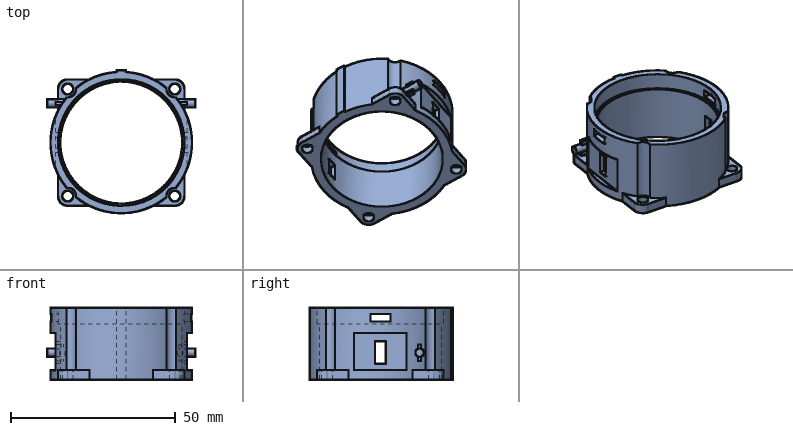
import cadquery as cq

height = 22.0
outer_radius = 21.5
bore_radius = 18.5
seat_radius = 19.2
seat_depth = 5.0

flange_half_width = 19.2
flange_height = 3.0
hole_offset = 16.25
hole_radius = 1.6
corner_radius = flange_half_width - hole_offset
relief_radius = 2.5

key_width = 2.8
key_reach = 22.0

flat_distance = 20.0
flat_top = 14.25
slot_width = 3.15
slot_bottom = 5.0
slot_top = 11.75
window_width = 6.0
window_bottom = 17.8
window_top = 20.0

pin_tip = 22.5
pin_y = 11.9
pin_z = 8.3
pin_diameter = 2.55
fin_thickness = 1.0
fin_height = 5.05


def cylinder(radius, bottom, top):
    return cq.Workplane("XY").workplane(offset=bottom).circle(radius).extrude(top - bottom)


def side_to_side_bar(width, bottom, top):
    """Bar along X that runs through both side walls."""
    bar = cq.Workplane("XY").box(2 * pin_tip, width, top - bottom)
    return bar.translate((0, 0, (bottom + top) / 2))


def screw_cylinders(radius, bottom, top):
    """Four upright cylinders on the screw axes."""
    return (
        cq.Workplane("XY")
        .workplane(offset=bottom)
        .rect(2 * hole_offset, 2 * hole_offset, forConstruction=True)
        .vertices()
        .circle(radius)
        .extrude(top - bottom)
    )


def flange():
    side = 2 * flange_half_width
    plate = cq.Workplane("XY").rect(side, side).extrude(flange_height)
    return plate.edges("|Z").fillet(corner_radius)


def key():
    return (
        cq.Workplane("XY")
        .center(0, key_reach / 2)
        .rect(key_width, key_reach)
        .extrude(height)
    )


def flat_cutter(side):
    """Block that removes the ring outside the flat on one side (+1 or -1)."""
    span = 2 * outer_radius
    block = cq.Workplane("XY").box(span, span, flat_top - flange_height)
    center_x = side * (flat_distance + span / 2)
    return block.translate((center_x, 0, (flange_height + flat_top) / 2))


def pins():
    """Pin and fin pair running across the part; the bore later removes the middle."""
    pin = (
        cq.Workplane("YZ")
        .center(pin_y, pin_z)
        .circle(pin_diameter / 2)
        .extrude(pin_tip, both=True)
    )
    fin = cq.Workplane("XY").box(2 * flat_distance, fin_thickness, fin_height)
    return pin.union(fin.translate((0, pin_y, pin_z)))


body = cylinder(outer_radius, 0, height).union(key())
for side in (-1, 1):
    body = body.cut(flat_cutter(side))
body = body.cut(screw_cylinders(relief_radius, flange_height, height))

body = body.union(flange()).cut(screw_cylinders(hole_radius, 0, flange_height))
body = body.union(pins())

body = body.cut(cylinder(bore_radius, 0, height))
body = body.cut(cylinder(seat_radius, height - seat_depth, height))
body = body.cut(side_to_side_bar(slot_width, slot_bottom, slot_top))
result = body.cut(side_to_side_bar(window_width, window_bottom, window_top))